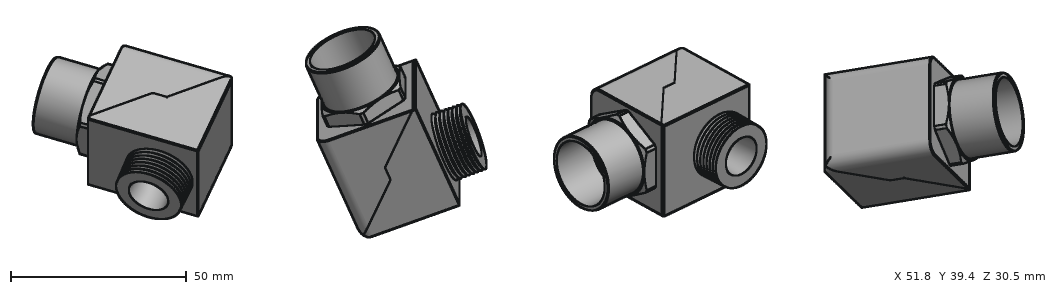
import cadquery as cq
import math


block_left = 21.85
block_right = 11.8
block_size = 30.45
block_fillet = 3.75
chamfer_depth = 0.2
chamfer_inset = 0.35

joint_front_offset = 7.65
joint_back_offset = 3.4

hex_length = 4.5
hex_across_flats = 24.0
hex_corner_radius = 13.5
hex_chamfer_angle = 30.0
sleeve_length = 13.65
sleeve_radius = 11.4
sleeve_chamfer_length = 0.35
sleeve_chamfer_radial = 0.2
socket_radius = 10.0
socket_depth = sleeve_length

thread_length = 8.9
thread_count = 7
thread_crest_radius = 10.1
thread_root_radius = 8.9
thread_end_radius = 9.9

bore_radius = 5.5
outlet_mouth_radius = 6.0

half_block = block_size / 2
hex_end_x = -block_left - hex_length
inlet_end_x = hex_end_x - sleeve_length
outlet_end_y = -half_block - thread_length


def make_block():
    """Block with rounded +Y edges and shallow chamfers around its -X, -Y and +X faces."""
    front_shoulder_y = -half_block + chamfer_depth
    left_shoulder_x = -block_left + chamfer_depth
    right_shoulder_x = block_right - chamfer_inset
    shoulder_z = half_block - chamfer_inset

    section = (
        cq.Sketch()
        .polygon([
            (-half_block, -shoulder_z),
            (front_shoulder_y, -half_block),
            (half_block, -half_block),
            (half_block, half_block),
            (front_shoulder_y, half_block),
            (-half_block, shoulder_z),
            (-half_block, -shoulder_z),
        ])
        .vertices(">X")
        .fillet(block_fillet)
    )
    shoulder_plane = cq.Workplane("YZ", origin=(left_shoulder_x, 0, 0))
    length = block_right - left_shoulder_x
    taper = math.degrees(math.atan2(chamfer_inset, chamfer_depth))
    left_end = shoulder_plane.placeSketch(section).extrude(-chamfer_depth, taper=taper)
    bar = shoulder_plane.placeSketch(section).extrude(length).union(left_end)

    outline = (
        cq.Workplane("XY", origin=(0, 0, -half_block))
        .moveTo(-block_left, -half_block)
        .lineTo(right_shoulder_x, -half_block)
        .lineTo(block_right, front_shoulder_y)
        .lineTo(block_right, half_block - block_fillet)
        .radiusArc((block_right - block_fillet, half_block), -block_fillet)
        .lineTo(-block_left, half_block)
        .close()
        .extrude(block_size)
    )

    profile = (
        cq.Workplane("XZ", origin=(0, half_block, 0))
        .moveTo(-block_left, -half_block)
        .lineTo(right_shoulder_x, -half_block)
        .lineTo(block_right, -shoulder_z)
        .lineTo(block_right, shoulder_z)
        .lineTo(right_shoulder_x, half_block)
        .lineTo(-block_left, half_block)
        .close()
        .extrude(block_size)
    )
    return bar.intersect(outline).intersect(profile)


def make_hexagon():
    """Hexagon with corners along Z, turned round and chamfered at its -X end."""
    across_corners = hex_across_flats / math.cos(math.radians(30))
    prism = (
        cq.Workplane("YZ", origin=(hex_end_x, 0, 0))
        .polygon(6, across_corners)
        .extrude(hex_length)
        .rotate((0, 0, 0), (1, 0, 0), 90)
    )
    face_radius = hex_across_flats / 2
    chamfer_length = (hex_corner_radius - face_radius) * math.tan(math.radians(hex_chamfer_angle))
    turning = (
        cq.Workplane("XY")
        .moveTo(hex_end_x, 0)
        .lineTo(hex_end_x, face_radius)
        .lineTo(hex_end_x + chamfer_length, hex_corner_radius)
        .lineTo(-block_left, hex_corner_radius)
        .lineTo(-block_left, 0)
        .close()
        .revolve(360, (0, 0, 0), (1, 0, 0))
    )
    return prism.intersect(turning)


def make_sleeve():
    """Plain sleeve at the inlet, chamfered around its free end."""
    return (
        cq.Workplane("XY")
        .moveTo(inlet_end_x, 0)
        .lineTo(inlet_end_x, sleeve_radius - sleeve_chamfer_radial)
        .lineTo(inlet_end_x + sleeve_chamfer_length, sleeve_radius)
        .lineTo(hex_end_x, sleeve_radius)
        .lineTo(hex_end_x, 0)
        .close()
        .revolve(360, (0, 0, 0), (1, 0, 0))
    )


def make_thread():
    """Spigot with ring-shaped V grooves, its crests trimmed by a slight taper."""
    pitch = thread_length / thread_count
    profile = cq.Workplane("XY").moveTo(0, -half_block).lineTo(thread_crest_radius, -half_block)
    for turn in range(thread_count):
        groove_start = -half_block - turn * pitch
        profile = profile.lineTo(thread_root_radius, groove_start - pitch / 2)
        profile = profile.lineTo(thread_crest_radius, groove_start - pitch)
    grooved = profile.lineTo(0, outlet_end_y).close().revolve(360, (0, 0, 0), (0, 1, 0))
    taper = (
        cq.Workplane("XY")
        .moveTo(0, -half_block)
        .lineTo(thread_crest_radius, -half_block)
        .lineTo(thread_end_radius, outlet_end_y)
        .lineTo(0, outlet_end_y)
        .close()
        .revolve(360, (0, 0, 0), (0, 1, 0))
    )
    return grooved.intersect(taper)


def make_passage():
    """Mitred bore with a wide socket at the inlet and a gentle flare along the spigot."""
    path = cq.Workplane("XY").polyline([(inlet_end_x, 0), (0, 0), (0, outlet_end_y)])
    bore = (
        cq.Workplane("YZ", origin=(inlet_end_x, 0, 0)).circle(bore_radius).sweep(path, transition="right")
    )
    socket = cq.Workplane("YZ", origin=(inlet_end_x, 0, 0)).circle(socket_radius).extrude(socket_depth)
    flare = (
        cq.Workplane("XY")
        .moveTo(0, -half_block)
        .lineTo(bore_radius, -half_block)
        .lineTo(outlet_mouth_radius, outlet_end_y)
        .lineTo(0, outlet_end_y)
        .close()
        .revolve(360, (0, 0, 0), (0, 1, 0))
    )
    return bore.union(socket).union(flare)


def make_joint_side():
    """Prism that covers the region on the outlet side of the stepped joint."""
    run = block_size
    return (
        cq.Workplane("XY", origin=(0, 0, -block_size))
        .moveTo(-joint_front_offset - run, -run)
        .lineTo(-joint_front_offset, 0)
        .lineTo(-joint_back_offset, 0)
        .lineTo(-joint_back_offset + run, run)
        .lineTo(-joint_back_offset + run, -run)
        .close()
        .extrude(2 * block_size)
    )


block = make_block()
passage = make_passage()
joint_side = make_joint_side()

inlet_body = block.cut(joint_side).union(make_hexagon()).union(make_sleeve()).cut(passage)
outlet_body = block.intersect(joint_side).union(make_thread()).cut(passage)

result = cq.Compound.makeCompound([inlet_body.solids().val(), outlet_body.solids().val()])